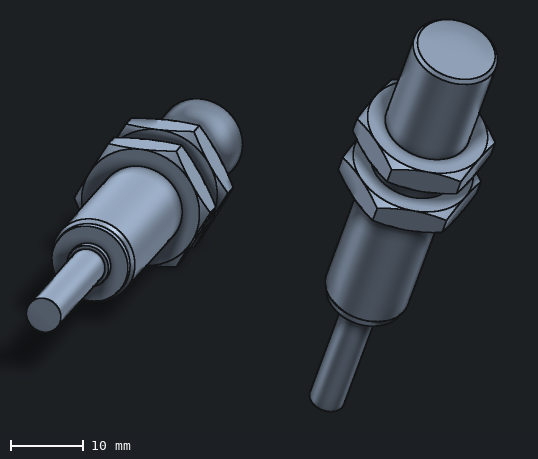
import cadquery as cq
import math


barrel_diameter = 12.0
barrel_length = 50.0
face_diameter = 11.0
face_chamfer = (barrel_diameter - face_diameter) / 2

cap_diameter = 10.96
cap_length = 1.0
barrel_rear_chamfer = (barrel_diameter - cap_diameter) / 2
grommet_diameter = 6.0
grommet_length = 1.0
cable_diameter = 5.0
cable_length = 20.0

nut_across_flats = 17.0
nut_across_corners = nut_across_flats / math.cos(math.radians(30))
nut_thickness = 4.0
nut_gap = 4.0
nut_chamfer_angle = 30.0
first_nut_distance = 16.0
nut_count = 2


def cylinder(diameter, length, distance):
    """Cylinder on the sensor axis, starting at a distance behind the sensing face."""
    return cq.Workplane("XZ", origin=(0, -distance, 0)).circle(diameter / 2).extrude(length)


def make_sensor():
    """Barrel, end cap, grommet and cable as one solid."""
    cap_start = barrel_length
    grommet_start = cap_start + cap_length
    cable_start = grommet_start + grommet_length

    barrel = cylinder(barrel_diameter, barrel_length, 0)
    barrel = barrel.faces(">Y").chamfer(face_chamfer)
    barrel = barrel.faces("<Y").chamfer(barrel_rear_chamfer)
    cap = cylinder(cap_diameter, cap_length, cap_start)
    grommet = cylinder(grommet_diameter, grommet_length, grommet_start)
    cable = cylinder(cable_diameter, cable_length, cable_start)
    return barrel.union(cap).union(grommet).union(cable)


def make_nut(distance):
    """Hexagonal nut with conically chamfered corners, fitted closely around the barrel."""
    hexagon = (
        cq.Workplane("XZ", origin=(0, -distance, 0))
        .polygon(6, nut_across_corners)
        .extrude(nut_thickness)
    )
    corner_overhang = (nut_across_corners - nut_across_flats) / 2
    chamfer_depth = corner_overhang * math.tan(math.radians(nut_chamfer_angle))
    chamfer_envelope = (
        cylinder(nut_across_corners, nut_thickness, distance)
        .faces("<Y or >Y")
        .edges()
        .chamfer(chamfer_depth, corner_overhang)
    )
    bore = cylinder(barrel_diameter, nut_thickness, distance)
    return hexagon.intersect(chamfer_envelope).cut(bore)


sensor = make_sensor()

nuts = []
for index in range(nut_count):
    nut_distance = first_nut_distance + index * (nut_thickness + nut_gap)
    nuts.append(make_nut(nut_distance).solids().val())

result = cq.Compound.makeCompound([sensor.solids().val(), *nuts])